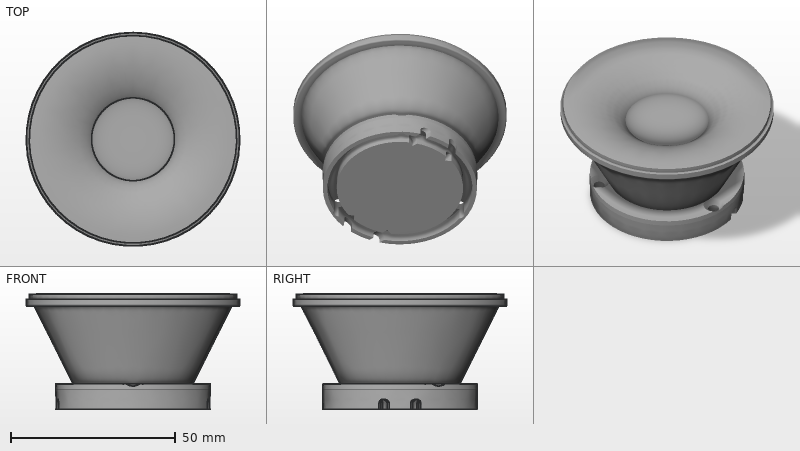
import cadquery as cq
import math

base_height = 7.7
base_radius = 23.55
base_end_radius = 23.4
base_edge_height = 6.15
base_wall = 1.35
hub_radius = 19.2
base_roof = 3.6

screw_count = 3
screw_first_angle = 30
screw_circle_radius = 21.1
screw_hole_diameter = 3.3
countersink_diameter = 6.05
countersink_angle = 90

notch_width = 2.65
notch_height = 3.05
notch_entry_y = 4.8
notch_slant = math.radians(22)
notch_depth = 5.9
notch_lead = 1.95

cone_bottom_radius = 18.15
cone_top_radius = 30.0
flange_radius = 32.45
flange_bottom = 31.35
flange_top = 33.5
flange_fillet_radius = 0.45
lip_radius = 63.0 / 2
total_height = 35.1
dish_arc_radius = 22.6
dish_crest_radius = 28.7
dish_floor_radius = 12.6


def dish_height(radius):
    """Height of the round dish surface at a distance from the axis."""
    drop = dish_arc_radius - math.sqrt(dish_arc_radius**2 - (radius - dish_crest_radius) ** 2)
    return total_height - drop


def make_base():
    outline = (
        cq.Workplane("YZ")
        .moveTo(0, 0)
        .lineTo(base_end_radius, 0)
        .lineTo(base_radius, base_edge_height)
        .lineTo(base_end_radius, base_height)
        .lineTo(0, base_height)
        .close()
    )
    body = outline.revolve(360, (0, 0, 0), (0, 1, 0))
    groove = (
        cq.Workplane("XY")
        .circle(base_end_radius - base_wall)
        .circle(hub_radius)
        .extrude(base_height - base_roof)
    )
    body = body.cut(groove)
    body = (
        body.faces(">Z")
        .workplane(origin=(0, 0, base_height))
        .polarArray(screw_circle_radius, screw_first_angle, 360, screw_count)
        .cskHole(screw_hole_diameter, countersink_diameter, countersink_angle)
    )
    notch = make_notch()
    for cutter in (notch, notch.mirror("YZ"), notch.mirror("XZ"), notch.mirror("YZ").mirror("XZ")):
        body = body.cut(cutter)
    return body


def make_notch():
    """Cutter for the notch at +X +Y; it slants away from the X axis on its way inward."""
    entry_x = math.sqrt(base_end_radius**2 - notch_entry_y**2)
    inward = cq.Vector(-math.cos(notch_slant), math.sin(notch_slant), 0)
    start = cq.Vector(entry_x, notch_entry_y, 0) - inward * notch_lead
    across = inward.cross(cq.Vector(0, 0, -1))
    half_width = notch_width / 2
    shoulder = notch_height - half_width
    return (
        cq.Workplane(cq.Plane(origin=start, xDir=across, normal=inward))
        .moveTo(-half_width, 0)
        .lineTo(-half_width, shoulder)
        .threePointArc((0, notch_height), (half_width, shoulder))
        .lineTo(half_width, 0)
        .close()
        .extrude(notch_lead + notch_depth)
    )


def make_knob():
    mid_radius = (lip_radius + dish_floor_radius) / 2
    profile = (
        cq.Workplane("YZ")
        .moveTo(0, base_height)
        .lineTo(cone_bottom_radius, base_height)
        .lineTo(cone_top_radius, flange_bottom)
        .lineTo(flange_radius - flange_fillet_radius, flange_bottom)
        .radiusArc((flange_radius, flange_bottom + flange_fillet_radius), -flange_fillet_radius)
        .lineTo(flange_radius, flange_top)
        .lineTo(lip_radius, flange_top)
        .lineTo(lip_radius, dish_height(lip_radius))
        .threePointArc(
            (mid_radius, dish_height(mid_radius)),
            (dish_floor_radius, dish_height(dish_floor_radius)),
        )
        .lineTo(0, dish_height(dish_floor_radius))
        .close()
    )
    return profile.revolve(360, (0, 0, 0), (0, 1, 0))


base = make_base()
knob = make_knob()

result = cq.Compound.makeCompound([base.val(), knob.val()])